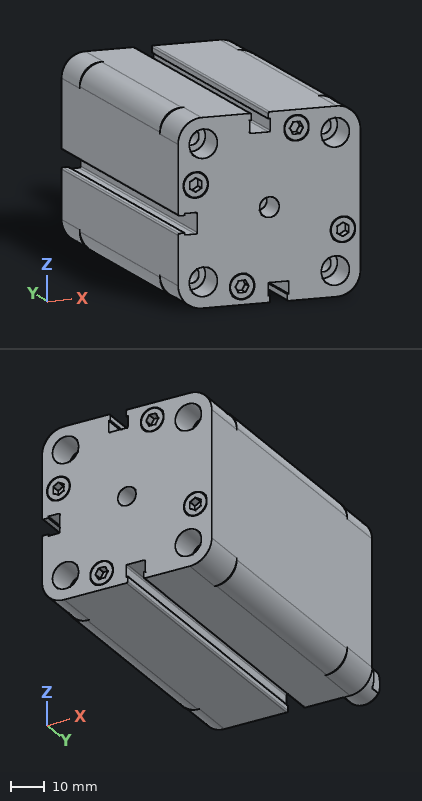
import cadquery as cq
import math


total_length = 142.0
side = 58.1
housing_length = 95.5
cap_thickness = 14.9
cap_corner_radius = 7.5
tube_corner_radius = 7.0

slot_offset = 3.0
slot_mouth_width = 5.4
slot_inner_width = 6.5
slot_depth = 6.1
slot_lip = 2.1
slot_corner_radius = 0.5
slot_turns = (0, 90, 180)

mount_offset = 21.0
mount_hole_diameter = 5.0
mount_bore_diameter = 9.0
mount_bore_depth = 10.0

screw_turns = (0, 90, 180, 270)
screw_near_offset = 8.7
screw_far_offset = 23.5
screw_bore_diameter = 8.0
screw_head_diameter = 7.5
screw_head_height = 5.0
socket_width = 3.7
socket_depth = 3.0

port_diameter = 6.2
port_depth = 10.0

rod_diameter = 12.0
rod_length = total_length - housing_length
rod_tip_radius = 1.4
flat_width = 10.1
flat_length = 4.5
flat_runout_angle = 40


def along_y(y):
    """Sketch plane across the axis at position y, extruding to +Y, with local (-X, Z) axes."""
    return cq.Workplane("XZ", origin=(0, y, 0)).transformed(rotate=(0, 180, 0))


def rounded_block(y, length, corner_radius):
    return along_y(y).rect(side, side).extrude(length).edges("|Y").fillet(corner_radius)


def housing():
    tube_length = housing_length - 2 * cap_thickness
    front_cap = rounded_block(0, cap_thickness, cap_corner_radius)
    tube = rounded_block(cap_thickness, tube_length, tube_corner_radius)
    rear_cap = rounded_block(cap_thickness + tube_length, cap_thickness, cap_corner_radius)
    return front_cap.union(tube).union(rear_cap)


def slot_cutter():
    """T-slot in the top face, with rounded edges at its mouth and rounded floor corners."""
    top = side / 2
    floor = top - slot_depth
    mouth = slot_mouth_width / 2
    inner = slot_inner_width / 2
    radius = slot_corner_radius
    return (
        cq.Workplane("XZ", origin=(-slot_offset, 0, 0))
        .moveTo(mouth + radius, top)
        .radiusArc((mouth, top - radius), -radius)
        .lineTo(mouth, top - slot_lip)
        .lineTo(inner, top - slot_lip)
        .lineTo(inner, floor + radius)
        .radiusArc((inner - radius, floor), radius)
        .lineTo(-inner + radius, floor)
        .radiusArc((-inner, floor + radius), radius)
        .lineTo(-inner, top - slot_lip)
        .lineTo(-mouth, top - slot_lip)
        .lineTo(-mouth, top - radius)
        .radiusArc((-mouth - radius, top), -radius)
        .close()
        .extrude(-housing_length)
    )


def mount_cutter():
    pitch = 2 * mount_offset
    holes = along_y(0).rarray(pitch, pitch, 2, 2).circle(mount_hole_diameter / 2).extrude(housing_length)
    bores = along_y(0).rarray(pitch, pitch, 2, 2).circle(mount_bore_diameter / 2).extrude(mount_bore_depth)
    return holes.union(bores)


def screw_cutter():
    """Screw beside the top face: a ring gap around the head and the hexagon socket in it."""
    gap = (
        along_y(0)
        .circle(screw_bore_diameter / 2)
        .circle(screw_head_diameter / 2)
        .extrude(screw_head_height)
    )
    socket_corner_diameter = socket_width / math.cos(math.radians(30))
    socket = along_y(0).polygon(6, socket_corner_diameter).extrude(socket_depth)
    return gap.union(socket).translate((screw_near_offset, 0, screw_far_offset))


def port_cutter():
    return along_y(0).circle(port_diameter / 2).extrude(port_depth)


def rod():
    radius = rod_diameter / 2
    shaft = (
        along_y(housing_length)
        .circle(radius)
        .extrude(rod_length)
        .faces(">Y")
        .edges()
        .fillet(rod_tip_radius)
    )
    flat_x = flat_width / 2
    runout = (radius - flat_x) * math.tan(math.radians(flat_runout_angle))
    flat_end = total_length - flat_length
    flat_cutter = (
        cq.Workplane("XY")
        .moveTo(flat_x, total_length)
        .lineTo(flat_x, flat_end)
        .lineTo(radius, flat_end - runout)
        .lineTo(radius, total_length)
        .close()
        .extrude(radius, both=True)
    )
    return shaft.cut(flat_cutter).cut(flat_cutter.mirror("YZ"))


def turned(shape, angle):
    """Turn a shape about the cylinder axis, from the top face toward the left one."""
    return shape.rotate((0, 0, 0), (0, 1, 0), -angle)


body = housing()
for angle in slot_turns:
    body = body.cut(turned(slot_cutter(), angle))
for angle in screw_turns:
    body = body.cut(turned(screw_cutter(), angle))
body = body.cut(mount_cutter())
body = body.cut(port_cutter())

result = body.union(rod())